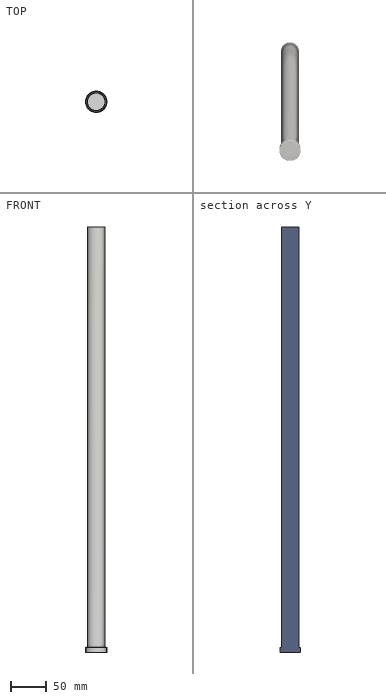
import cadquery as cq

TOTAL_LENGTH = 600.0
HEAD_DIAMETER = 30.0
HEAD_THICKNESS = 7.5
SHANK_DIAMETER = 25.0

HEAD_CHAMFER = 0.5
NECK_FILLET = 1.0


def cylinder(diameter, height):
    """Upright cylinder on the pin axis, starting at the underside of the head."""
    return cq.Workplane("XY").circle(diameter / 2).extrude(height)


def round_neck(pin):
    """Fillet the inner corner where the shank meets the head."""
    head_top = pin.faces(">Z[-2]")
    return head_top.edges(cq.selectors.RadiusNthSelector(0)).fillet(NECK_FILLET)


def break_head_edge(pin):
    """Chamfer the outer edge of the head's underside."""
    return pin.faces("<Z").edges().chamfer(HEAD_CHAMFER)


head = cylinder(HEAD_DIAMETER, HEAD_THICKNESS)
shank = cylinder(SHANK_DIAMETER, TOTAL_LENGTH)

result = break_head_edge(round_neck(head.union(shank)))